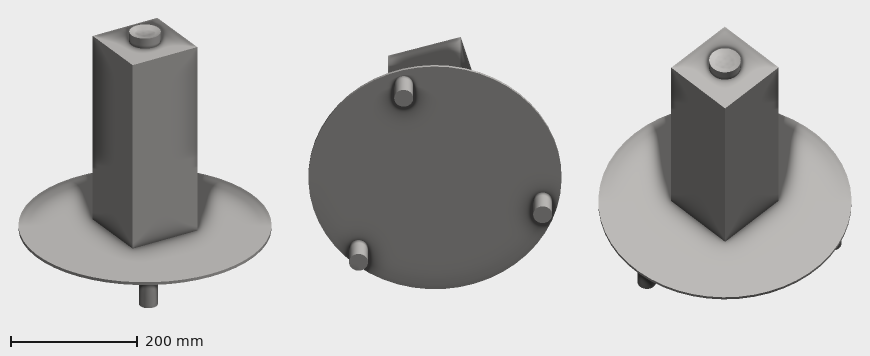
import cadquery as cq
import math

disc_diameter = 400.0
disc_thickness = 5.0

leg_diameter = 30.0
leg_length = 46.0
leg_count = 3
leg_circle_radius = 175.0
first_leg_angle = 90.0
leg_spacing_angle = 360.0 / leg_count

column_side = 120.0
column_height = 325.0

overall_height = 393.62
seat_diameter = 50.0
dish_depth = 5.0

column_top = disc_thickness + column_height
seat_top = overall_height - leg_length
seat_height = seat_top - column_top
seat_radius = seat_diameter / 2
dish_sphere_radius = (seat_radius**2 + dish_depth**2) / (2 * dish_depth)


def make_disc():
    return cq.Workplane("XY").circle(disc_diameter / 2).extrude(disc_thickness)


def make_column():
    return (
        cq.Workplane("XY", origin=(0, 0, disc_thickness))
        .rect(column_side, column_side)
        .extrude(column_height)
    )


def make_seat():
    cylinder = cq.Workplane("XY", origin=(0, 0, column_top)).circle(seat_radius).extrude(seat_height)
    sphere_center_z = seat_top - dish_depth + dish_sphere_radius
    sphere = cq.Workplane("XY").sphere(dish_sphere_radius).rotate((0, 0, 0), (0, 1, 0), -90)
    dish = sphere.translate((0, 0, sphere_center_z))
    return cylinder.cut(dish)


def make_leg(angle_degrees):
    angle = math.radians(angle_degrees)
    x = leg_circle_radius * math.cos(angle)
    y = leg_circle_radius * math.sin(angle)
    return cq.Workplane("XY", origin=(x, y, 0)).circle(leg_diameter / 2).extrude(-leg_length)


result = make_disc().union(make_column()).union(make_seat())
for leg_index in range(leg_count):
    result = result.union(make_leg(first_leg_angle + leg_index * leg_spacing_angle))